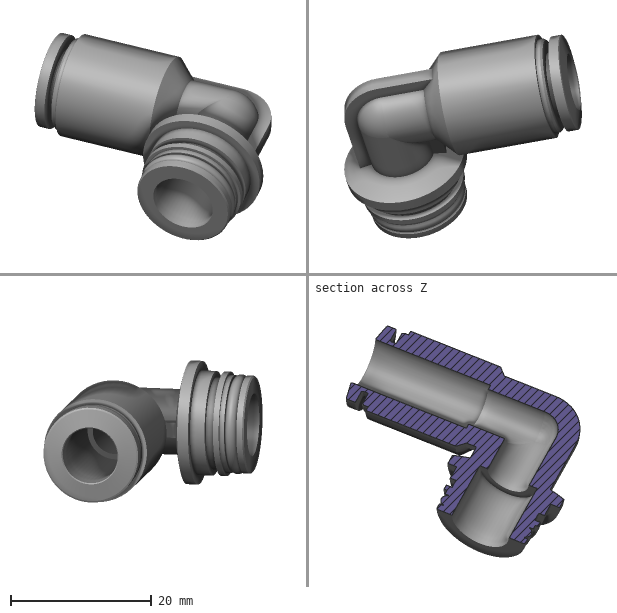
import cadquery as cq
import math


overall_length = 36.02
flange_radius = 17.7 / 2

elbow_radius = 9.4 / 2
bore_radius = 6.5 / 2

socket_end = overall_length - flange_radius
collar_face_edge = 26.7
collar_rim = 26.6
collar_back = 25.15
neck_taper_end = 24.95
neck_end = 24.2
insert_rim = 23.88
body_front = 23.25
body_back = 9.0
socket_radius = 15.0 / 2
socket_bore_radius = 8.0 / 2
socket_mouth_chamfer = 0.15
collar_radius = 13.8 / 2
collar_face_radius = 13.33 / 2
neck_radius = 9.4 / 2
neck_root_radius = 9.73 / 2
insert_radius = 13.6 / 2
insert_front_radius = 13.15 / 2
cone_end = body_back - (socket_radius - elbow_radius)

plug_end = 18.3
flange_crown_start = 8.0
flange_front = 9.0
flange_back = 10.6
shoulder_end = 12.7
groove_end = 13.95
rib_end = 14.77
seal_start = 15.45
seal_end = 17.25
flange_crown_bulge = 0.09
shoulder_radius = 14.95 / 2
groove_radius = 13.15 / 2
land_radius = 14.0 / 2
plug_tip_radius = 13.6 / 2
seal_outer_radius = 14.25 / 2
plug_bore_radius = 9 / 2
seal_section_radius = (seal_end - seal_start) / 2
seal_ring_radius = seal_outer_radius - seal_section_radius
tip_chamfer = land_radius - plug_tip_radius

web_reach = 6.35
web_corner_radius = 6.12
web_thickness = 2.15


def along_socket(profile):
    """Revolve (station, radius) points about the socket axis."""
    points = [(-station, radius) for station, radius in profile]
    return cq.Workplane("XY").polyline(points).close().revolve(360, (0, 0), (1, 0))


def along_plug(profile):
    """Revolve (station, radius) points about the plug axis."""
    points = [(radius, -station) for station, radius in profile]
    return cq.Workplane("XY").polyline(points).close().revolve(360, (0, 0), (0, 1))


def rod_profile(start, end, radius):
    return [(start, 0), (start, radius), (end, radius), (end, 0)]


def bent_rod(radius, socket_length, plug_length):
    """Two round rods meeting at the origin, with a ball rounding the outer corner."""
    ball = cq.Workplane("XY").sphere(radius)
    socket_rod = along_socket(rod_profile(0, socket_length, radius))
    plug_rod = along_plug(rod_profile(0, plug_length, radius))
    return socket_rod.union(plug_rod).union(ball)


def make_socket():
    return along_socket([
        (cone_end, 0),
        (cone_end, elbow_radius),
        (body_back, socket_radius),
        (body_front, socket_radius),
        (body_front, insert_radius),
        (insert_rim, insert_radius),
        (neck_end, insert_front_radius),
        (neck_end, neck_radius),
        (neck_taper_end, neck_radius),
        (collar_back, neck_root_radius),
        (collar_back, collar_radius),
        (collar_rim, collar_radius),
        (collar_face_edge, collar_face_radius),
        (socket_end, socket_bore_radius + socket_mouth_chamfer),
        (socket_end, 0),
    ])


def make_plug():
    plug = along_plug([
        (flange_front, 0),
        (flange_front, flange_radius),
        (flange_back, flange_radius),
        (flange_back, shoulder_radius),
        (shoulder_end, shoulder_radius),
        (shoulder_end, groove_radius),
        (groove_end, groove_radius),
        (groove_end, shoulder_radius),
        (rib_end, shoulder_radius),
        (rib_end, land_radius),
        (seal_start, land_radius),
        (seal_start, seal_ring_radius),
        (seal_end, seal_ring_radius),
        (seal_end, land_radius),
        (plug_end - tip_chamfer, land_radius),
        (plug_end, plug_tip_radius),
        (plug_end, 0),
    ])
    return plug.union(make_flange_crown()).union(make_seal())


def make_flange_crown():
    """Slightly domed face that rises from the flange rim to the elbow."""
    rise = flange_front - flange_crown_start
    run = flange_radius - elbow_radius
    slope_length = math.hypot(rise, run)
    middle_radius = (elbow_radius + flange_radius) / 2 + flange_crown_bulge * rise / slope_length
    middle_station = (flange_crown_start + flange_front) / 2 - flange_crown_bulge * run / slope_length
    return (
        cq.Workplane("XY")
        .moveTo(0, -flange_crown_start)
        .lineTo(elbow_radius, -flange_crown_start)
        .threePointArc((middle_radius, -middle_station), (flange_radius, -flange_front))
        .lineTo(0, -flange_front)
        .close()
        .revolve(360, (0, 0), (0, 1))
    )


def make_seal():
    """Rounded outer half of the O-ring seated near the plug tip."""
    seal_station = (seal_start + seal_end) / 2
    return (
        cq.Workplane("XY")
        .moveTo(seal_ring_radius, -seal_start)
        .threePointArc((seal_outer_radius, -seal_station), (seal_ring_radius, -seal_end))
        .close()
        .revolve(360, (0, 0), (0, 1))
    )


def make_web():
    """L-shaped plate in the plane of both axes, rounded at its outer corner."""
    corner_centre = web_reach - web_corner_radius
    corner_middle = corner_centre + web_corner_radius * math.sqrt(0.5)
    return (
        cq.Workplane("XY")
        .moveTo(-body_back, web_reach)
        .lineTo(corner_centre, web_reach)
        .threePointArc((corner_middle, corner_middle), (web_reach, corner_centre))
        .lineTo(web_reach, -flange_front)
        .lineTo(-web_reach, -flange_front)
        .lineTo(-web_reach, -web_reach)
        .lineTo(-body_back, -web_reach)
        .close()
        .extrude(web_thickness / 2, both=True)
    )


def make_bores():
    passage = bent_rod(bore_radius, socket_end, plug_end)
    socket_bore = along_socket([
        (body_back, 0),
        (body_back, socket_bore_radius),
        (socket_end - socket_mouth_chamfer, socket_bore_radius),
        (socket_end, socket_bore_radius + socket_mouth_chamfer),
        (socket_end, 0),
    ])
    plug_bore = along_plug(rod_profile(flange_front, plug_end, plug_bore_radius))
    return passage.union(socket_bore).union(plug_bore)


elbow = bent_rod(elbow_radius, body_back, flange_front)
outside = elbow.union(make_web()).union(make_socket()).union(make_plug())
result = outside.cut(make_bores())